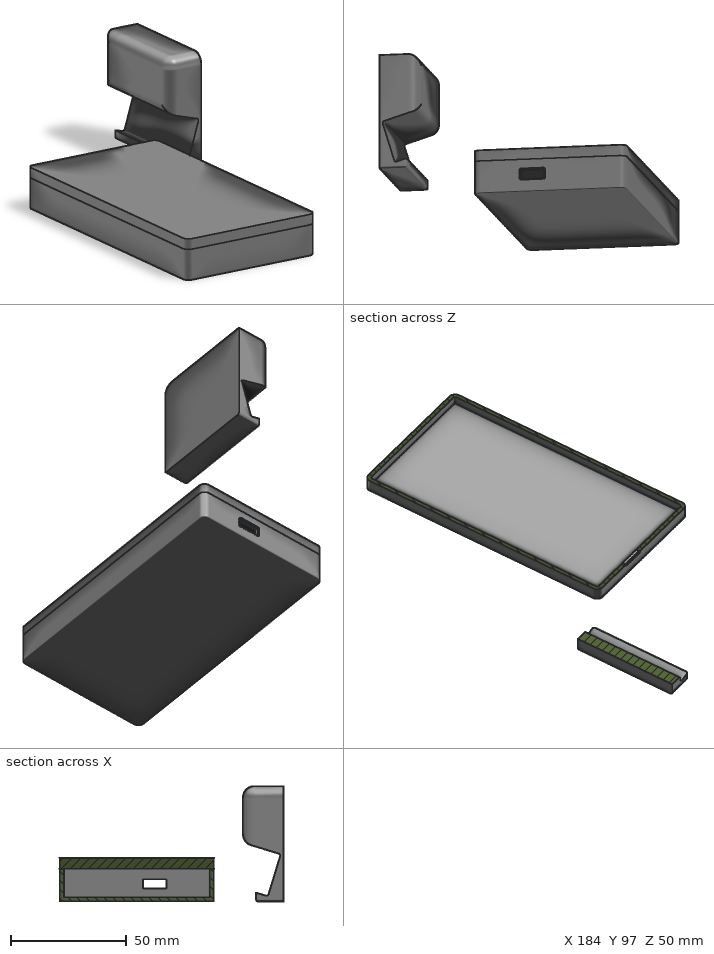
import cadquery as cq
import math

holder_size = 50.0
holder_depth = 17.7
box_length = 124.0
box_width = 67.0
overall_width = 97.0
gap_x = 10.0
box_left = holder_size + gap_x
holder_back = overall_width

box_corner_radius = 3.0
base_height = 14.2
lid_height = 4.8
bottom_edge_radius = 0.5

wall_thickness = 2.0

rim_width = 11.2
rim_height = 5.0
rim_corner_radius = 1.0
rim_depth = 0.5
rim_margin = 0.5
port_center_y = 41.2
port_center_z = 7.7

head_radius = 5.2
tilt = math.radians(17)
lip_depth = 12.0
lip_edge_radius = 1.1
slot_corner_from_back = 6.8
slot_corner_height = 2.4
slot_height = 19.0
slot_root_radius = 1.0
lip_step_height = holder_size / 4


def rounded_slab(height):
    """Plate with the box outline and rounded vertical corners, standing on Z = 0."""
    return (
        cq.Workplane("XY")
        .box(box_length, box_width, height, centered=False)
        .edges("|Z")
        .fillet(box_corner_radius)
        .translate((box_left, 0, 0))
    )


def make_port_cutter():
    """Rounded opening through the left wall, with the wider rim recess at its mouth."""
    outer_wall = cq.Workplane("YZ", origin=(box_left, port_center_y, port_center_z))
    rim = outer_wall.rect(rim_width, rim_height).extrude(rim_depth)
    rim = rim.edges("|X").fillet(rim_corner_radius)
    opening = outer_wall.rect(rim_width - 2 * rim_margin, rim_height - 2 * rim_margin).extrude(wall_thickness)
    opening = opening.edges("|X").fillet(rim_corner_radius - rim_margin)
    return rim.union(opening)


def make_base():
    """Open-topped tray with rounded lower rim and the port in its left wall."""
    base = rounded_slab(base_height).faces("<Z").edges().fillet(bottom_edge_radius)
    base = base.faces(">Z").shell(-wall_thickness)
    return base.cut(make_port_cutter())


def make_lid():
    return rounded_slab(lid_height).translate((0, 0, base_height))


def make_slot():
    """Tilted channel for the held device, open to the front, along the whole width."""
    corner_y = holder_back - slot_corner_from_back
    root_y = corner_y + slot_height * math.sin(tilt)
    root_z = slot_corner_height + slot_height * math.cos(tilt)
    reach = 2 * holder_depth
    reach_y = reach * math.cos(tilt)
    reach_z = reach * math.sin(tilt)
    return (
        cq.Workplane("YZ")
        .polyline([
            (corner_y, slot_corner_height),
            (root_y, root_z),
            (root_y - reach_y, root_z + reach_z),
            (corner_y - reach_y, slot_corner_height + reach_z),
        ])
        .close()
        .extrude(holder_size)
    )


def make_holder_blank():
    """Back block with the head on top, stepped back below to leave the lip depth."""
    blank = (
        cq.Workplane("XY")
        .box(holder_size, holder_depth, holder_size, centered=False)
        .translate((0, holder_back - holder_depth, 0))
    )
    step_back = (
        cq.Workplane("XY")
        .box(holder_size, holder_depth - lip_depth, lip_step_height, centered=False)
        .translate((0, holder_back - holder_depth, 0))
    )
    return blank.cut(step_back)


def make_holder():
    holder = make_holder_blank().cut(make_slot())

    head_rim = holder.faces("<Y").edges()
    right_shoulder = holder.edges(">X and >Z")
    holder = head_rim.add(right_shoulder).fillet(head_radius)

    inner_corners = cq.selectors.BoxSelector(
        (0, holder_back - slot_corner_from_back - slot_root_radius, slot_corner_height - slot_root_radius),
        (holder_size, holder_back, slot_corner_height + slot_height),
    )
    holder = holder.edges("|X").edges(inner_corners).fillet(slot_root_radius)

    lip_front = holder_back - lip_depth
    bottom_rim = holder.faces("<Z").edges("not >Y")
    upright_corners = holder.edges("|Z").edges(
        cq.selectors.BoxSelector(
            (-1.8, lip_front - lip_edge_radius, 0),
            (holder_size + 1.8, lip_front + lip_edge_radius, lip_step_height),
        )
    )
    return bottom_rim.add(upright_corners).fillet(lip_edge_radius)


holder = make_holder()
base = make_base()
lid = make_lid()
result = cq.Compound.makeCompound([holder.val(), base.val(), lid.val()])